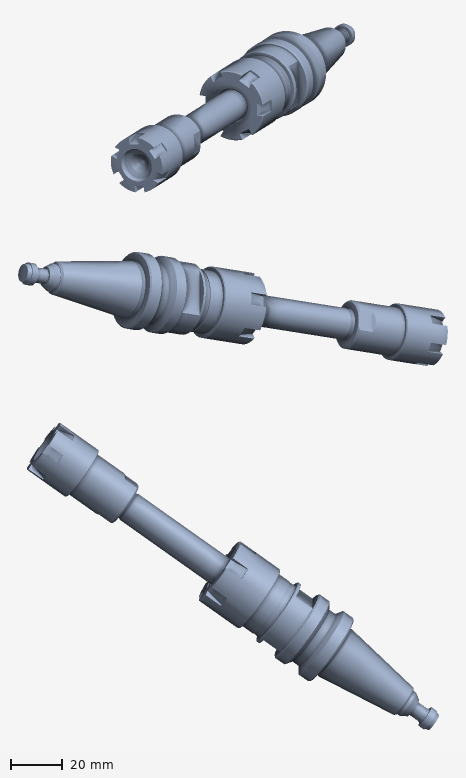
import cadquery as cq
import math

overall_length = 185.9
small_edge = 0.4

stud_tip_radius = 3.5
stud_head_radius = 8.7 / 2
stud_neck_radius = 3.0
stud_neck_step_radius = 3.2
stud_cone_radius = 3.9
stud_collar_radius = 11.0 / 2
stud_shank_radius = 3.2
stud_shoulder_y = 184.2
stud_head_front_y = 181.6
stud_neck_step_y = 180.7
stud_neck_front_y = 176.0
stud_collar_y = 173.5
stud_seat_y = 172.1
stud_shank_front_y = 163.5

taper_small_radius = 6.5
taper_large_radius = 11.2
taper_edge = 0.7
taper_front_y = 138.9
undercut_depth = 0.4
undercut_width = 1.1
flange_radius = 30.0 / 2
flange_rear_y = 137.2
flange_front_y = 120.5
flange_edge = 0.5
groove_radius = 12.3
groove_rear_y = 132.2
groove_front_y = 125.3
groove_floor_rear_y = 130.3
groove_floor_front_y = 127.2
collar_radius = 14.0
collar_front_y = 111.2
collar_edge = 0.4
collar_flat_distance = 10.6
collar_flat_front_y = 112.5
nose_radius = 12.3
nose_relief_depth = 0.4
nose_relief_front_y = 108.4
nose_front_y = 91.0

large_nut_radius = 14.0
large_nut_rear_y = 102.8
large_nut_front_y = 83.7
large_nut_recess_radius = 8.2
large_nut_recess_depth = 0.5
large_nut_bore_edge = 0.7
large_slot_count = 6
large_slot_width = 4.8
large_slot_length = 7.3
large_slot_rear_radius = 13.0
large_slot_front_radius = 11.0

bar_radius = 6.1
bar_rear_y = 107.8
bar_groove_rear_y = 40.9
bar_groove_depth = 0.4
head_radius = 9.5
head_rear_y = 39.0
head_edge = 0.7
head_flat_distance = 8.5
head_flat_front_y = 32.7
head_flat_runout = 1.1
head_nose_radius = 8.2
head_nose_front_y = 1.9
socket_mouth_radius = 5.8
socket_step_radius = 3.9
socket_step_y = 3.2
socket_tip_radius = 1.9
socket_tip_y = 5.8
socket_cone_half_angle = 59.0

small_nut_radius = 22.1 / 2
small_nut_rear_y = 18.4
small_nut_mouth_radius = 6.5
small_slot_count = 6
small_slot_width = 3.9
small_slot_length = 6.9
small_slot_rear_radius = 10.5
small_slot_front_radius = 8.4
small_nut_turn = -22.5


def revolved(points):
    """Solid of revolution about Y from (y, radius) points."""
    return cq.Workplane("YZ").polyline(points).close().revolve(360, (0, 0, 0), (1, 0, 0))


def turned(body, angle):
    """Turn a body about Y, counter-clockwise as seen from the front."""
    return body.rotate((0, 0, 0), (0, 1, 0), -angle)


def cut_spanner_slots(nut, front_y, outer_radius, count, width, length, rear_radius, front_radius):
    """Cut open-ended slots with sloping floors around the front rim of a nut."""
    clear_radius = outer_radius + 1.9
    slot = (
        cq.Workplane("XY")
        .polyline([
            (front_radius, front_y),
            (rear_radius, front_y + length),
            (clear_radius, front_y + length),
            (clear_radius, front_y),
        ])
        .close()
        .extrude(width / 2, both=True)
    )
    for index in range(count):
        nut = nut.cut(turned(slot, index * 360 / count))
    return nut


def make_pull_stud():
    return revolved([
        (overall_length, 0),
        (overall_length, stud_tip_radius),
        (stud_shoulder_y, stud_cone_radius),
        (stud_shoulder_y, stud_head_radius),
        (stud_head_front_y, stud_head_radius),
        (stud_head_front_y, stud_neck_step_radius),
        (stud_neck_step_y, stud_neck_step_radius),
        (stud_neck_step_y, stud_neck_radius),
        (stud_neck_front_y, stud_neck_radius),
        (stud_neck_front_y, stud_cone_radius),
        (stud_collar_y, stud_collar_radius),
        (stud_seat_y, stud_collar_radius),
        (stud_seat_y, stud_shank_radius),
        (stud_shank_front_y, stud_shank_radius),
        (stud_shank_front_y, 0),
    ])


def make_holder():
    body = revolved([
        (stud_shank_front_y, 0),
        (stud_shank_front_y, stud_shank_radius),
        (stud_seat_y, stud_shank_radius),
        (stud_seat_y, taper_small_radius - taper_edge),
        (stud_seat_y - taper_edge, taper_small_radius),
        (taper_front_y, taper_large_radius),
        (taper_front_y - undercut_width / 2, taper_large_radius - undercut_depth),
        (taper_front_y - undercut_width, taper_large_radius),
        (flange_rear_y, taper_large_radius),
        (flange_rear_y, flange_radius - flange_edge),
        (flange_rear_y - flange_edge, flange_radius),
        (groove_rear_y, flange_radius),
        (groove_floor_rear_y, groove_radius),
        (groove_floor_front_y, groove_radius),
        (groove_front_y, flange_radius),
        (flange_front_y + flange_edge, flange_radius),
        (flange_front_y, flange_radius - flange_edge),
        (flange_front_y, collar_radius),
        (collar_front_y + collar_edge, collar_radius),
        (collar_front_y, collar_radius - collar_edge),
        (collar_front_y, nose_radius),
        (nose_relief_front_y, nose_radius - nose_relief_depth),
        (nose_relief_front_y, nose_radius),
        (nose_front_y, nose_radius),
        (nose_front_y, bar_radius),
        (bar_rear_y, bar_radius),
        (bar_rear_y, 0),
    ])
    flat_length = flange_front_y - collar_flat_front_y
    flat_cutter = cq.Workplane("XY").box(
        flange_radius, flat_length, 2 * flange_radius, centered=(False, False, True)
    )
    for side in (0, 180):
        cutter = flat_cutter.translate((collar_flat_distance, collar_flat_front_y, 0))
        body = body.cut(turned(cutter, side))
    return body


def make_large_nut():
    recess_floor_y = large_nut_front_y + large_nut_recess_depth
    nut = revolved([
        (large_nut_rear_y, nose_radius),
        (large_nut_rear_y, large_nut_radius - small_edge),
        (large_nut_rear_y - small_edge, large_nut_radius),
        (large_nut_front_y + small_edge, large_nut_radius),
        (large_nut_front_y, large_nut_radius - small_edge),
        (large_nut_front_y, large_nut_recess_radius),
        (recess_floor_y, large_nut_recess_radius),
        (recess_floor_y, bar_radius + large_nut_bore_edge),
        (recess_floor_y + large_nut_bore_edge, bar_radius),
        (nose_front_y, bar_radius),
        (nose_front_y, nose_radius),
    ])
    return cut_spanner_slots(
        nut, large_nut_front_y, large_nut_radius, large_slot_count, large_slot_width,
        large_slot_length, large_slot_rear_radius, large_slot_front_radius,
    )


def make_extension():
    socket_end_y = socket_tip_y + socket_tip_radius / math.tan(math.radians(socket_cone_half_angle))
    body = revolved([
        (bar_rear_y, 0),
        (bar_rear_y, bar_radius),
        (bar_groove_rear_y, bar_radius),
        ((bar_groove_rear_y + head_rear_y) / 2, bar_radius - bar_groove_depth),
        (head_rear_y, bar_radius),
        (head_rear_y, head_radius - head_edge),
        (head_rear_y - head_edge, head_radius),
        (small_nut_rear_y, head_radius),
        (small_nut_rear_y, head_nose_radius),
        (head_nose_front_y, head_nose_radius),
        (head_nose_front_y, socket_mouth_radius),
        (socket_step_y, socket_step_radius),
        (socket_tip_y, socket_tip_radius),
        (socket_end_y, 0),
    ])
    flat_cutter = (
        cq.Workplane("XY")
        .polyline([
            (head_flat_distance, head_rear_y),
            (head_flat_distance, head_flat_front_y),
            (head_radius, head_flat_front_y - head_flat_runout),
            (head_radius, head_rear_y),
        ])
        .close()
        .extrude(head_radius, both=True)
    )
    for side in (0, 180):
        body = body.cut(turned(flat_cutter, side))
    return body


def make_small_nut():
    nut = revolved([
        (small_nut_rear_y, head_nose_radius),
        (small_nut_rear_y, small_nut_radius - small_edge),
        (small_nut_rear_y - small_edge, small_nut_radius),
        (0, small_nut_radius),
        (0, small_nut_mouth_radius),
        (head_nose_front_y, socket_mouth_radius),
        (head_nose_front_y, head_nose_radius),
    ])
    nut = cut_spanner_slots(
        nut, 0, small_nut_radius, small_slot_count, small_slot_width,
        small_slot_length, small_slot_rear_radius, small_slot_front_radius,
    )
    return turned(nut, small_nut_turn)


pull_stud = make_pull_stud()
holder = make_holder()
large_nut = make_large_nut()
extension = make_extension()
small_nut = make_small_nut()

result = cq.Compound.makeCompound([
    pull_stud.val(),
    holder.val(),
    large_nut.val(),
    extension.val(),
    small_nut.val(),
])